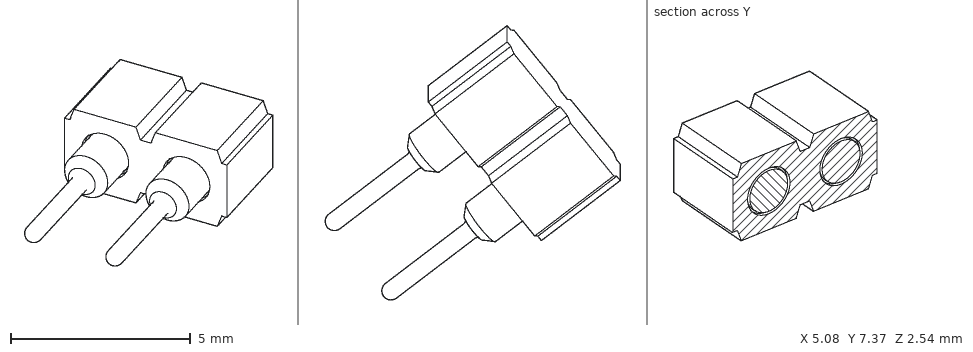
import cadquery as cq
import math

PIN_COUNT = 2
OVERALL_LENGTH = 7.37
HOUSING_LENGTH = 5.08
PITCH = HOUSING_LENGTH / PIN_COUNT
HOUSING_HEIGHT = 2.54
GROOVE_DEPTH = 0.39
GROOVE_FLOOR_HALF_WIDTH = 0.16
GROOVE_MOUTH_HALF_WIDTH = 0.3

BARREL_DIAMETER = 1.35
BARREL_RADIUS = BARREL_DIAMETER / 2
BARREL_LENGTH = 1.14
TAPER_END_RADIUS = 0.42
TAPER_LENGTH = 0.265
ROD_RADIUS = 0.26
NECK_FILLET = 0.14
PIN_REACH = 4.58

HOUSING_DEPTH = OVERALL_LENGTH - PIN_REACH

MOUTH_RADIUS = 0.74
MOUTH_DEPTH = 0.22

PIN_INSERTION = 1.4

PIN_POSITIONS = [(i - (PIN_COUNT - 1) / 2) * PITCH for i in range(PIN_COUNT)]


def make_cell(x):
    """One housing cell: an upright block whose four corners are notched with sloping walls."""
    half_width = PITCH / 2
    half_height = HOUSING_HEIGHT / 2
    step_z = half_height - GROOVE_DEPTH
    floor_x = half_width - GROOVE_FLOOR_HALF_WIDTH
    mouth_x = half_width - GROOVE_MOUTH_HALF_WIDTH
    upper_right = [(half_width, step_z), (floor_x, step_z), (mouth_x, half_height)]
    upper_left = [(-px, pz) for px, pz in reversed(upper_right)]
    lower = [(px, -pz) for px, pz in reversed(upper_right + upper_left)]
    return (
        cq.Workplane("XZ")
        .polyline(upper_right + upper_left + lower)
        .close()
        .extrude(-HOUSING_DEPTH)
        .translate((x, 0, 0))
    )


def make_bore(x):
    """Blind hole that fits the pin, with a wider mouth at the housing face."""
    face = cq.Workplane("XZ").center(x, 0)
    socket = face.circle(BARREL_RADIUS).extrude(-PIN_INSERTION)
    mouth = face.circle(MOUTH_RADIUS).extrude(-MOUTH_DEPTH)
    return socket.union(mouth)


def make_housing():
    """Join the cells into one block and bore a hole for each pin."""
    housing = make_cell(PIN_POSITIONS[0])
    for x in PIN_POSITIONS[1:]:
        housing = housing.union(make_cell(x))
    for x in PIN_POSITIONS:
        housing = housing.cut(make_bore(x))
    return housing


def make_pin(x):
    """Barrel, taper, filleted neck, thin rod and round tip, revolved about the pin axis."""
    taper_end = -(BARREL_LENGTH + TAPER_LENGTH)
    rod_start = taper_end - NECK_FILLET
    rod_end = ROD_RADIUS - PIN_REACH
    diagonal = math.sqrt(0.5)
    neck_middle = (
        ROD_RADIUS + NECK_FILLET * (1 - diagonal),
        rod_start + NECK_FILLET * diagonal,
    )
    tip_middle = (ROD_RADIUS * diagonal, rod_end - ROD_RADIUS * diagonal)
    return (
        cq.Workplane("XY")
        .moveTo(0, PIN_INSERTION)
        .lineTo(BARREL_RADIUS, PIN_INSERTION)
        .lineTo(BARREL_RADIUS, -BARREL_LENGTH)
        .lineTo(TAPER_END_RADIUS, taper_end)
        .lineTo(ROD_RADIUS + NECK_FILLET, taper_end)
        .threePointArc(neck_middle, (ROD_RADIUS, rod_start))
        .lineTo(ROD_RADIUS, rod_end)
        .threePointArc(tip_middle, (0, -PIN_REACH))
        .close()
        .revolve(360, (0, 0, 0), (0, 1, 0))
        .translate((x, 0, 0))
    )


housing = make_housing()
pins = [make_pin(x) for x in PIN_POSITIONS]

result = cq.Compound.makeCompound([housing.val(), *[pin.val() for pin in pins]])